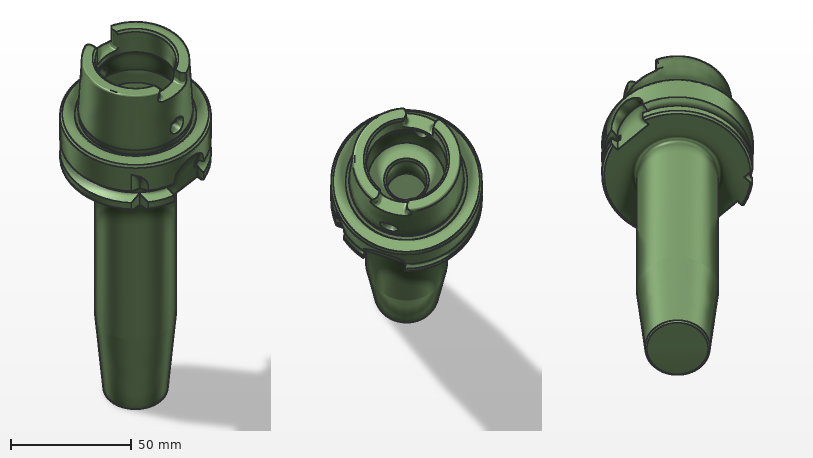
import cadquery as cq
import math

TOTAL_LENGTH = 192.0
FLANGE_TOP = 160.0
FLANGE_BOTTOM = 134.0
NOSE_TAPER_TOP = 44.4

SHANK_RADIUS = 34.0 / 2
NOSE_RADIUS = 27.0 / 2
NOSE_CHAMFER = 0.8
SHANK_FILLET = 2.9

FLANGE_RADIUS = 31.5
FLANGE_CHAMFER = 1.0
GROOVE_RADIUS = 27.5
GROOVE_CENTRE = 142.0
GROOVE_FLOOR_HALF = 1.3
GROOVE_SIDE_ANGLE = 27

TAPER_FOOT_RADIUS = 24.0
TAPER_FOOT = 162.0
TAPER_PER_LENGTH = 0.05
RIM_ROUND = 1.0
RELIEF_RADIUS = 23.6
RELIEF_OUTER_RADIUS = 25.3
RELIEF_DEPTH = 0.8

BORE_RADIUS = 16.9
BORE_RIM_CHAMFER = 1.0
LIP_BOTTOM = 179.3
CAVITY_RADIUS = 20.0
CAVITY_LEAD_ANGLE = 60
CAVITY_CONE_TOP = 166.0
BORE_FLOOR_RADIUS = 16.1
BORE_FLOOR = CAVITY_CONE_TOP - (CAVITY_RADIUS - BORE_FLOOR_RADIUS)
CENTRE_HOLE_RADIUS = 8.5
CENTRE_HOLE_CHAMFER = 1.0
CENTRE_HOLE_DEPTH = 19.2

SLOT_HALF_WIDTH = 6.3
SLOT_MOUTH_ROUND = 2.3
SLOT_MOUTH_RADIUS = 45.5 / 2
SLOT_TANGENT_LENGTH = 7.7
SLOT_BORE_ROUND = 0.5
SLOT_FLOOR_FILLET = 1.7
DEEP_SLOT_DEPTH = 10.0
SHALLOW_SLOT_DEPTH = 6.0

CROSS_HOLE_RADIUS = 4.0
CROSS_HOLE_LEVEL = 168.8

KEYWAY_HALF_WIDTH = 9.0
KEYWAY_ROUND_CENTRE = 146.3
KEYWAY_FLOOR_REACH = 26.5

NOTCH_RADIUS = 7.1
NOTCH_ROUND_CENTRE = 148.2
NOTCH_FLOOR_REACH = 20.0
NOTCH_WALL = 19.4

FLAT_ANGLE = 135
FLAT_REACH = 29.8
FLAT_BOTTOM = 150.1
FLAT_HEIGHT = 6.0


def turned_body():
    taper_rise = TOTAL_LENGTH - TAPER_FOOT
    rim_radius = TAPER_FOOT_RADIUS - TAPER_PER_LENGTH * taper_rise
    groove_side = (FLANGE_RADIUS - GROOVE_RADIUS) * math.tan(math.radians(GROOVE_SIDE_ANGLE))
    groove_mouth_half = GROOVE_FLOOR_HALF + groove_side
    fillet_mid = SHANK_FILLET * (1 - math.sqrt(0.5))
    rim_round_mid = RIM_ROUND * (1 - math.sqrt(0.5))
    outline = (
        cq.Workplane("XZ")
        .lineTo(NOSE_RADIUS - NOSE_CHAMFER, 0)
        .lineTo(NOSE_RADIUS, NOSE_CHAMFER)
        .lineTo(SHANK_RADIUS, NOSE_TAPER_TOP)
        .lineTo(SHANK_RADIUS, FLANGE_BOTTOM - SHANK_FILLET)
        .threePointArc(
            (SHANK_RADIUS + fillet_mid, FLANGE_BOTTOM - fillet_mid),
            (SHANK_RADIUS + SHANK_FILLET, FLANGE_BOTTOM),
        )
        .lineTo(FLANGE_RADIUS - FLANGE_CHAMFER, FLANGE_BOTTOM)
        .lineTo(FLANGE_RADIUS, FLANGE_BOTTOM + FLANGE_CHAMFER)
        .lineTo(FLANGE_RADIUS, GROOVE_CENTRE - groove_mouth_half)
        .lineTo(GROOVE_RADIUS, GROOVE_CENTRE - GROOVE_FLOOR_HALF)
        .lineTo(GROOVE_RADIUS, GROOVE_CENTRE + GROOVE_FLOOR_HALF)
        .lineTo(FLANGE_RADIUS, GROOVE_CENTRE + groove_mouth_half)
        .lineTo(FLANGE_RADIUS, FLANGE_TOP - FLANGE_CHAMFER)
        .lineTo(FLANGE_RADIUS - FLANGE_CHAMFER, FLANGE_TOP)
        .lineTo(RELIEF_OUTER_RADIUS, FLANGE_TOP)
        .lineTo(RELIEF_OUTER_RADIUS, FLANGE_TOP - RELIEF_DEPTH)
        .lineTo(RELIEF_RADIUS, FLANGE_TOP - RELIEF_DEPTH)
        .lineTo(RELIEF_RADIUS, TAPER_FOOT - (TAPER_FOOT_RADIUS - RELIEF_RADIUS))
        .lineTo(TAPER_FOOT_RADIUS, TAPER_FOOT)
        .lineTo(rim_radius, TOTAL_LENGTH - RIM_ROUND)
        .threePointArc(
            (rim_radius - rim_round_mid, TOTAL_LENGTH - rim_round_mid),
            (rim_radius - RIM_ROUND, TOTAL_LENGTH),
        )
        .lineTo(0, TOTAL_LENGTH)
        .close()
    )
    return outline.revolve(360, (0, 0), (0, 1)).rotate((0, 0, 0), (0, 0, 1), -90)


def bore():
    lead_length = (CAVITY_RADIUS - BORE_RADIUS) / math.tan(math.radians(CAVITY_LEAD_ANGLE))
    outline = (
        cq.Workplane("XZ")
        .moveTo(0, TOTAL_LENGTH)
        .lineTo(BORE_RADIUS + BORE_RIM_CHAMFER, TOTAL_LENGTH)
        .lineTo(BORE_RADIUS, TOTAL_LENGTH - BORE_RIM_CHAMFER)
        .lineTo(BORE_RADIUS, LIP_BOTTOM)
        .lineTo(CAVITY_RADIUS, LIP_BOTTOM - lead_length)
        .lineTo(CAVITY_RADIUS, CAVITY_CONE_TOP)
        .lineTo(BORE_FLOOR_RADIUS, BORE_FLOOR)
        .lineTo(CENTRE_HOLE_RADIUS + CENTRE_HOLE_CHAMFER, BORE_FLOOR)
        .lineTo(CENTRE_HOLE_RADIUS, BORE_FLOOR - CENTRE_HOLE_CHAMFER)
        .lineTo(CENTRE_HOLE_RADIUS, BORE_FLOOR - CENTRE_HOLE_DEPTH)
        .lineTo(0, BORE_FLOOR - CENTRE_HOLE_DEPTH)
        .close()
    )
    return outline.revolve(360, (0, 0), (0, 1)).rotate((0, 0, 0), (0, 0, 1), -90)


def slot_plan(base):
    """Outline of a drive slot along +X; each mouth round runs on into a straight tangent."""
    round_y = SLOT_HALF_WIDTH + SLOT_MOUTH_ROUND
    round_distance = SLOT_MOUTH_RADIUS - SLOT_MOUTH_ROUND
    round_x = math.sqrt(round_distance**2 - round_y**2)
    tangent_angle = math.atan2(round_y, round_x)
    tangent_x = SLOT_MOUTH_RADIUS * math.cos(tangent_angle)
    tangent_y = SLOT_MOUTH_RADIUS * math.sin(tangent_angle)
    tangent_end_x = tangent_x - SLOT_TANGENT_LENGTH * math.sin(tangent_angle)
    tangent_end_y = tangent_y + SLOT_TANGENT_LENGTH * math.cos(tangent_angle)
    mid_angle = (tangent_angle - math.pi / 2) / 2
    mid_x = round_x + SLOT_MOUTH_ROUND * math.cos(mid_angle)
    mid_y = round_y + SLOT_MOUTH_ROUND * math.sin(mid_angle)
    return (
        base.moveTo(0, -SLOT_HALF_WIDTH)
        .lineTo(round_x, -SLOT_HALF_WIDTH)
        .threePointArc((mid_x, -mid_y), (tangent_x, -tangent_y))
        .lineTo(tangent_end_x, -tangent_end_y)
        .lineTo(FLANGE_RADIUS, -tangent_end_y)
        .lineTo(FLANGE_RADIUS, tangent_end_y)
        .lineTo(tangent_end_x, tangent_end_y)
        .lineTo(tangent_x, tangent_y)
        .threePointArc((mid_x, mid_y), (round_x, SLOT_HALF_WIDTH))
        .lineTo(0, SLOT_HALF_WIDTH)
        .close()
    )


def drive_slot(depth):
    """Slot through the +X side of the rim, joined to the bore and open upwards and outwards."""
    base = cq.Workplane("XY", origin=(0, 0, TOTAL_LENGTH - depth))
    cutter = slot_plan(base).extrude(depth).union(base.circle(BORE_RADIUS).extrude(depth))
    corner_x = math.sqrt(BORE_RADIUS**2 - SLOT_HALF_WIDTH**2)
    bore_corners = cq.selectors.BoxSelector(
        (corner_x - SLOT_BORE_ROUND, -SLOT_HALF_WIDTH - SLOT_BORE_ROUND, 0),
        (corner_x + SLOT_BORE_ROUND, SLOT_HALF_WIDTH + SLOT_BORE_ROUND, TOTAL_LENGTH),
    )
    upright = cq.selectors.ParallelDirSelector(cq.Vector(0, 0, 1))
    cutter = cutter.edges(bore_corners & upright).fillet(SLOT_BORE_ROUND)
    return cutter.faces("<Z").edges().fillet(SLOT_FLOOR_FILLET)


def round_topped_cutter(floor_reach, centre_y, radius, round_centre):
    """Cutter with a half-round top, running outwards along +X from its floor plane."""
    return (
        cq.Workplane("YZ", origin=(floor_reach, centre_y, 0))
        .moveTo(-radius, FLANGE_BOTTOM)
        .lineTo(-radius, round_centre)
        .threePointArc((0, round_centre + radius), (radius, round_centre))
        .lineTo(radius, FLANGE_BOTTOM)
        .close()
        .extrude(FLANGE_RADIUS)
    )


def half_turn(shape):
    return shape.rotate((0, 0, 0), (0, 0, 1), 180)


def flange_flat():
    block = cq.Workplane("XY").box(
        FLANGE_RADIUS, 2 * FLANGE_RADIUS, FLAT_HEIGHT, centered=(False, True, False)
    )
    return block.translate((FLAT_REACH, 0, FLAT_BOTTOM)).rotate((0, 0, 0), (0, 0, 1), FLAT_ANGLE)


def cross_hole():
    return (
        cq.Workplane("YZ", origin=(0, 0, CROSS_HOLE_LEVEL))
        .circle(CROSS_HOLE_RADIUS)
        .extrude(FLANGE_RADIUS, both=True)
    )


keyway = round_topped_cutter(KEYWAY_FLOOR_REACH, 0, KEYWAY_HALF_WIDTH, KEYWAY_ROUND_CENTRE)
notch = round_topped_cutter(
    NOTCH_FLOOR_REACH, -NOTCH_WALL - NOTCH_RADIUS, NOTCH_RADIUS, NOTCH_ROUND_CENTRE
)

result = (
    turned_body()
    .cut(bore())
    .cut(drive_slot(SHALLOW_SLOT_DEPTH))
    .cut(half_turn(drive_slot(DEEP_SLOT_DEPTH)))
    .cut(cross_hole())
    .cut(keyway)
    .cut(half_turn(keyway))
    .cut(notch)
    .cut(flange_flat())
)